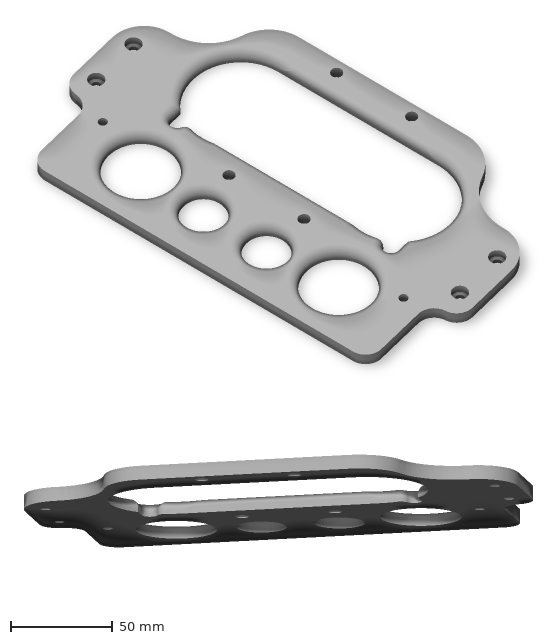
import cadquery as cq
import math

thickness = 7.0
height = 147.0
ear_half_width = 125.0
base_half_width = 106.5
base_corner_radius = 10.0

step_radius = 10.0
ear_lower_y = 59.2
ear_upper_radius = 20.0
ear_upper_y = 90.0
crown_radius = 24.0
crown_x = 52.5
shoulder_radius = 30.0

window_y = 97.5
window_end_x = 50.2
window_end_radius = 30.0
lip_radius = 5.0
straight_lip_radius = 3.5

notch_x = 67.0
notch_y = 68.0
notch_radius = 4.0
notch_corner_radius = 4.5

lipped_holes = [(62.0, 32.5, 40.0), (19.8, 28.8, 25.0)]

mount_diameter = 6.5
mount_x = 23.5
mount_ys = (54.0, 140.0)
pin_diameter = 5.0
pin_x = 94.2
pin_y = 43.2
ear_hole_diameter = 5.0
counterbore_diameter = 9.0
counterbore_depth = 4.5
ear_hole_x = 114.0
ear_hole_ys = (63.2, 93.0)


def circle_meeting(a, radius_a, b, radius_b):
    """Intersection of two circles that lies left of the direction from a to b."""
    span = math.dist(a, b)
    ux = (b[0] - a[0]) / span
    uy = (b[1] - a[1]) / span
    along = (span**2 + radius_a**2 - radius_b**2) / (2 * span)
    across = math.sqrt(radius_a**2 - along**2)
    return (a[0] + along * ux - across * uy, a[1] + along * uy + across * ux)


def toward(a, b, distance):
    """Point at the given distance from a on the way to b."""
    part = distance / math.dist(a, b)
    return (a[0] + part * (b[0] - a[0]), a[1] + part * (b[1] - a[1]))


def on_circle(center, radius, degrees):
    angle = math.radians(degrees)
    return (center[0] + radius * math.cos(angle), center[1] + radius * math.sin(angle))


def half_plate():
    """Left half of the plain plate."""
    ear_lower = (step_radius - ear_half_width, ear_lower_y)
    inner_x = -base_half_width - step_radius
    drop = math.sqrt((2 * step_radius)**2 - (ear_lower[0] - inner_x)**2)
    inner_corner = (inner_x, ear_lower_y - drop)
    step_join = toward(inner_corner, ear_lower, step_radius)
    ear_upper = (ear_upper_radius - ear_half_width, ear_upper_y)
    crown = (-crown_x, height - crown_radius)
    shoulder = circle_meeting(
        ear_upper, ear_upper_radius + shoulder_radius, crown, crown_radius + shoulder_radius
    )
    ear_join = toward(ear_upper, shoulder, ear_upper_radius)
    crown_join = toward(crown, shoulder, crown_radius)
    base_corner = (base_corner_radius - base_half_width, base_corner_radius)
    join_middle = ((ear_join[0] + crown_join[0]) / 2, (ear_join[1] + crown_join[1]) / 2)
    shoulder_middle = toward(shoulder, join_middle, shoulder_radius)
    return (
        cq.Workplane("XY")
        .lineTo(base_corner[0], 0)
        .threePointArc(
            on_circle(base_corner, base_corner_radius, 225), (-base_half_width, base_corner_radius)
        )
        .lineTo(-base_half_width, inner_corner[1])
        .threePointArc(on_circle(inner_corner, step_radius, 45), step_join)
        .threePointArc(on_circle(ear_lower, step_radius, 225), (-ear_half_width, ear_lower_y))
        .lineTo(-ear_half_width, ear_upper_y)
        .threePointArc(on_circle(ear_upper, ear_upper_radius, 135), ear_join)
        .threePointArc(shoulder_middle, crown_join)
        .threePointArc(on_circle(crown, crown_radius, 135), (-crown_x, height))
        .lineTo(0, height)
        .close()
        .extrude(thickness)
    )


def lipped_profile(plane, half_width, lip):
    """Half section of an opening whose upper edge flares outward in a quarter round."""
    lip_start = thickness - lip
    bend = lip * math.sqrt(0.5)
    return (
        cq.Workplane(plane)
        .lineTo(half_width, 0)
        .lineTo(half_width, lip_start)
        .threePointArc((half_width + lip - bend, lip_start + bend), (half_width + lip, thickness))
        .lineTo(0, thickness)
        .close()
    )


def lipped_hole(x, y, radius):
    profile = lipped_profile("XZ", radius, lip_radius)
    return profile.revolve(360, (0, 0), (0, 1)).translate((x, y, 0))


def straight_slot():
    """Half of the slot between the window ends, reaching from an end centre to X = 0."""
    upper = lipped_profile("YZ", window_end_radius, straight_lip_radius).extrude(window_end_x)
    return upper.union(upper.mirror("XZ")).translate((-window_end_x, window_y, 0))


def notch():
    """Round-bottomed vertical slot that runs up into the window end."""
    side = lipped_profile("XZ", notch_radius, lip_radius).extrude(notch_y - window_y + 2 * lip_radius)
    slot = side.union(side.mirror("YZ")).translate((-notch_x, notch_y, 0))
    return slot.union(lipped_hole(-notch_x, notch_y, notch_radius))


def notch_corner():
    """Rounds the cusp between the notch and the window end, with a domed top."""
    notch_center = (-notch_x, notch_y)
    window_center = (-window_end_x, window_y)
    corner = circle_meeting(
        window_center, window_end_radius + notch_corner_radius,
        notch_center, notch_radius + notch_corner_radius,
    )
    lip_start = thickness - lip_radius

    def dome_point(radius):
        inset = notch_corner_radius - radius
        return (radius, lip_start + math.sqrt(lip_radius**2 - (lip_radius - inset)**2))

    post = (
        cq.Workplane("XZ")
        .lineTo(notch_corner_radius, 0)
        .lineTo(notch_corner_radius, lip_start)
        .threePointArc(dome_point(notch_corner_radius / 2), dome_point(0))
        .close()
        .revolve(360, (0, 0), (0, 1))
        .translate((corner[0], corner[1], 0))
    )
    wedge = cq.Workplane("XY").polyline([notch_center, corner, window_center]).close().extrude(thickness)
    return wedge.cut(post)


half = half_plate()
half = half.cut(lipped_hole(-window_end_x, window_y, window_end_radius))
half = half.cut(straight_slot())
half = half.cut(notch())
half = half.cut(notch_corner())
for hole_x, hole_y, diameter in lipped_holes:
    half = half.cut(lipped_hole(-hole_x, hole_y, diameter / 2))

plate = half.union(half.mirror("YZ"))

top = plate.faces(">Z").workplane(origin=(0, 0, thickness))
plate = top.pushPoints([(side * mount_x, y) for side in (-1, 1) for y in mount_ys]).hole(mount_diameter)

top = plate.faces(">Z").workplane(origin=(0, 0, thickness))
plate = top.pushPoints([(side * pin_x, pin_y) for side in (-1, 1)]).hole(pin_diameter)

top = plate.faces(">Z").workplane(origin=(0, 0, thickness))
result = top.pushPoints([(side * ear_hole_x, y) for side in (-1, 1) for y in ear_hole_ys]).cboreHole(
    ear_hole_diameter, counterbore_diameter, counterbore_depth
)